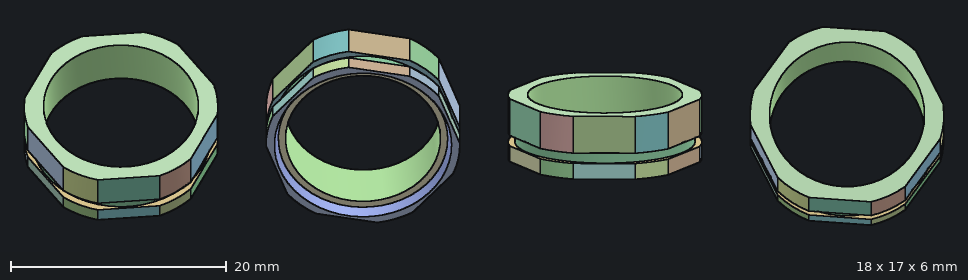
import math

import cadquery as cq

corner_diameter = 17.96
across_flats = 17.0
height = 6.0
bore_diameter = 14.35
groove_diameter = 16.7
groove_bottom = 1.5
groove_width = 0.99
recess_diameter = 16.42
recess_depth = 1.0
recess_wall_angle = 20


def hexagonal_body():
    """Cylinder trimmed by six flats, two of them facing +Y and -Y."""
    cylinder = cq.Workplane("XY").circle(corner_diameter / 2).extrude(height)
    across_corners = across_flats / math.cos(math.radians(30))
    hexagon = cq.Workplane("XY").polygon(6, across_corners).extrude(height)
    return cylinder.intersect(hexagon)


def groove():
    """Ring removed around the outside, with a round floor."""
    return (
        cq.Workplane("XY")
        .workplane(offset=groove_bottom)
        .circle(corner_diameter)
        .circle(groove_diameter / 2)
        .extrude(groove_width)
    )


def bore():
    """Through bore of constant diameter."""
    return cq.Workplane("XY").circle(bore_diameter / 2).extrude(height)


def tapered_recess():
    """Flat-roofed conical recess in the bottom face."""
    return (
        cq.Workplane("XY")
        .circle(recess_diameter / 2)
        .extrude(recess_depth, taper=recess_wall_angle)
    )


result = hexagonal_body().cut(groove()).cut(bore()).cut(tapered_recess())